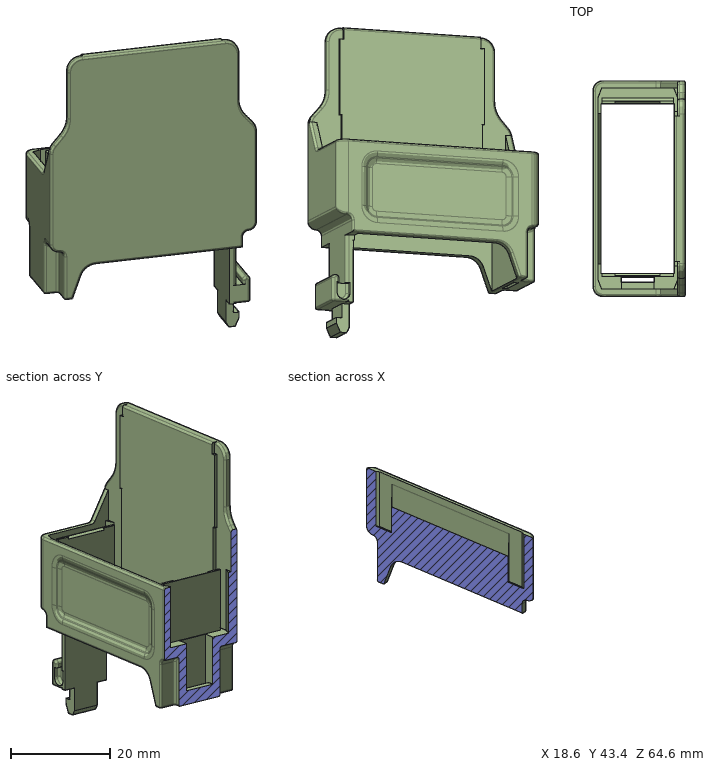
import cadquery as cq
import math

OVERLAP = 0.65
SLACK = 0.05

DEPTH = 18.6
HALF_WIDTH = 21.7
HEIGHT = 64.6
RIM_Z = 38.5
BODY_BOTTOM_Z = 19.6
LEG_BOTTOM_Z = 12.55
LABEL_CORNER_RADIUS = 2.0
EDGE_RADIUS = 0.45
LOWER_EDGE_RADIUS = 0.4

PLATE_FRONT_X = 17.0
PLATE_HALF_WIDTH = 18.0
PLATE_CORNER_RADIUS = 3.0
SHOULDER_LOW_Z = 45.5
SHOULDER_HIGH_Z = 49.6
SHOULDER_OUTER_RADIUS = 2.9
SHOULDER_INNER_RADIUS = 5.4
PANEL_FRONT_X = 16.35
PANEL_LOW_TOP = 46.7
PANEL_MID_TOP = 62.2
PANEL_LOW_HALF_WIDTH = 15.05
PANEL_MID_HALF_WIDTH = 15.5
PANEL_TOP_HALF_WIDTH = 14.65

RIM_SLOPE_X = 13.3
RIM_SLOPE_ANGLE = 60
RIM_BEND_RADIUS = 1.05

STEP_TOP_Z = 24.8
STEP_CONVEX = 1.75
STEP_CONCAVE = 1.15
STEP_Y = HALF_WIDTH - STEP_CONVEX - STEP_CONCAVE
STEP_BOTTOM_Z = STEP_TOP_Z - STEP_CONVEX - STEP_CONCAVE

LEG_INNER_Y = 17.05
LEG_ROOT_Y = 14.5
LEG_ROOT_RADIUS = 3.2

MIDDLE_X = 9.0
CAVITY_FRONT_X = 1.05
CAVITY_HALF_WIDTH = 20.2
CAVITY_CHAMFER_X = 0.7
CAVITY_CHAMFER_Y = 1.8
FLOOR_Z = 25.6
OPENING_LENGTH_X = 2 * (PANEL_FRONT_X - MIDDLE_X)
OPENING_HALF_WIDTH = 17.05
RIB_HALF_WIDTH = 15.1
RIB_TOP_Z = 36.8

GUIDE_LENGTH = 14.35
GUIDE_TOP_Z = 38.45
GUIDE_THICKNESS = 0.6
GUIDE_FOOT = 0.6
LEAD_IN_LENGTH = 9.05
LEAD_IN = 0.45

SLOT_LENGTH = 6.6
SLOT_INNER_Y = 17.8
LEDGE_Z = 15.6

RECESS_WIDTH = 32.4
RECESS_HEIGHT = 13.5
RECESS_Z = 29.1
RECESS_CORNER = 2.8
RECESS_DEPTH = 0.6
RECESS_BORDER = 1.3
RECESS_BLEND = 2.7

CLIP_WIDTH = 10.5
CLIP_BOTTOM_Z = 5.9
ARM_INNER_Y = 17.25
ARM_EDGE_RADIUS = 0.65
ARM_ROOT_Y = 17.05
ARM_ROOT_BOTTOM_Z = 18.6
LIP_TOP_RADIUS = 0.7
LIP_EDGE_RADIUS = 0.5
LIP_BOTTOM_RADIUS = 0.4
LIP_TOP_Z = 11.4
LIP_INNER_Y = 20.15
LIP_WEB_Z = 9.8
POCKET_INNER_Y = 17.95
POCKET_OUTER_Y = 20.75
POCKET_DEPTH = 1.3
POCKET_FLOOR_RADIUS = 0.5
POCKET_CENTER_Z = 7.75
HOOK_WIDTH = 5.9
HOOK_TIP_Y = 20
HOOK_TOP_Z = 3.0
HOOK_TIP_Z = 1.8
HOOK_END_OUTER_Y = 19.2
HOOK_NECK_RADIUS = 0.25
HOOK_CHAMFER_Y = 0.6
HOOK_CHAMFER_Z = 1.05


def box(x_min, x_max, y_min, y_max, z_min, z_max):
    size = (x_max - x_min, y_max - y_min, z_max - z_min)
    return cq.Workplane("XY").box(*size, centered=False).translate((x_min, y_min, z_min))


def centred_box(length_x, y_min, y_max, z_min, z_max):
    return box(MIDDLE_X - length_x / 2, MIDDLE_X + length_x / 2, y_min, y_max, z_min, z_max)


def profile(x_min):
    """Y-Z sketch plane at the given X."""
    return cq.Workplane("YZ", origin=(x_min, 0, 0))


def near(points):
    """Selector for the X-parallel edges that pass through the given (y, z) points."""
    selectors = [
        cq.selectors.BoxSelector((-SLACK, y - SLACK, z - SLACK), (DEPTH + SLACK, y + SLACK, z + SLACK))
        for y, z in points
    ]
    selector = selectors[0]
    for other in selectors[1:]:
        selector = selector + other
    return selector


def end_step(side, x_min, x_max):
    """Material outside the inward step of one end; side is +1 for +Y and -1 for -Y."""
    diagonal = math.sqrt(0.5)
    center_y = HALF_WIDTH - STEP_CONVEX
    convex_middle = (
        side * (center_y + STEP_CONVEX * diagonal),
        STEP_TOP_Z - STEP_CONVEX * diagonal,
    )
    concave_middle = (
        side * (center_y - STEP_CONCAVE * diagonal),
        STEP_BOTTOM_Z + STEP_CONCAVE * diagonal,
    )
    beyond = side * (HALF_WIDTH + OVERLAP)
    return (
        profile(x_min)
        .moveTo(beyond, STEP_TOP_Z)
        .lineTo(side * HALF_WIDTH, STEP_TOP_Z)
        .threePointArc(convex_middle, (side * center_y, STEP_TOP_Z - STEP_CONVEX))
        .threePointArc(concave_middle, (side * STEP_Y, STEP_BOTTOM_Z))
        .lineTo(side * STEP_Y, 0)
        .lineTo(beyond, 0)
        .close()
        .extrude(x_max - x_min)
    )


def outline(x_min):
    """Silhouette of the whole part without the clip, from x_min to the back."""
    shape = (
        profile(x_min)
        .moveTo(-HALF_WIDTH, LEG_BOTTOM_Z)
        .lineTo(-HALF_WIDTH, SHOULDER_LOW_Z)
        .lineTo(-PLATE_HALF_WIDTH, SHOULDER_HIGH_Z)
        .lineTo(-PLATE_HALF_WIDTH, HEIGHT)
        .lineTo(PLATE_HALF_WIDTH, HEIGHT)
        .lineTo(PLATE_HALF_WIDTH, SHOULDER_HIGH_Z)
        .lineTo(HALF_WIDTH, SHOULDER_LOW_Z)
        .lineTo(HALF_WIDTH, BODY_BOTTOM_Z)
        .lineTo(-LEG_ROOT_Y, BODY_BOTTOM_Z)
        .lineTo(-LEG_INNER_Y, LEG_BOTTOM_Z)
        .close()
        .extrude(DEPTH - x_min)
    )
    rounds = (
        (PLATE_CORNER_RADIUS, [(s * PLATE_HALF_WIDTH, HEIGHT) for s in (-1, 1)]),
        (SHOULDER_INNER_RADIUS, [(s * PLATE_HALF_WIDTH, SHOULDER_HIGH_Z) for s in (-1, 1)]),
        (SHOULDER_OUTER_RADIUS, [(s * HALF_WIDTH, SHOULDER_LOW_Z) for s in (-1, 1)]),
        (LEG_ROOT_RADIUS, [(-LEG_ROOT_Y, BODY_BOTTOM_Z)]),
    )
    for radius, points in rounds:
        shape = shape.edges("|X").edges(near(points)).fillet(radius)
    return shape


def walls():
    """Block of the side walls: level rim, then a slope up to the back, with a rounded outer edge."""
    slope_rise = (DEPTH - RIM_SLOPE_X) * math.tan(math.radians(RIM_SLOPE_ANGLE))
    block = (
        cq.Workplane("XZ", origin=(0, HALF_WIDTH, 0))
        .moveTo(0, 0)
        .lineTo(0, RIM_Z)
        .lineTo(RIM_SLOPE_X, RIM_Z)
        .lineTo(DEPTH, RIM_Z + slope_rise)
        .lineTo(DEPTH, 0)
        .close()
        .extrude(2 * HALF_WIDTH)
    )
    bend = cq.selectors.NearestToPointSelector((RIM_SLOPE_X, 0, RIM_Z))
    block = block.edges("|Y").edges(bend).fillet(RIM_BEND_RADIUS)
    block = block.edges("|Z and <X").fillet(LABEL_CORNER_RADIUS)
    block = block.faces("<X").edges(">Z").fillet(EDGE_RADIUS)
    return block.intersect(outline(0))


def envelope():
    """Solid outer shape of the body, leg and back plate."""
    plate = outline(PLATE_FRONT_X).faces("<X").edges().fillet(EDGE_RADIUS)
    shape = walls().union(plate)
    boss_min = MIDDLE_X - CLIP_WIDTH / 2
    boss_max = MIDDLE_X + CLIP_WIDTH / 2
    inner_corner = cq.selectors.BoxSelector(
        (0, -STEP_Y - SLACK, -OVERLAP), (DEPTH, -STEP_Y + SLACK, STEP_BOTTOM_Z + OVERLAP)
    )
    shape = shape.cut(end_step(1, -OVERLAP, DEPTH + OVERLAP))
    for x_min, x_max in ((-OVERLAP, boss_min), (boss_max, DEPTH + OVERLAP)):
        notch = end_step(-1, x_min, x_max)
        shape = shape.cut(notch.edges("|Z").edges(inner_corner).fillet(EDGE_RADIUS))
    shape = shape.faces(">X").edges().fillet(EDGE_RADIUS)
    boss_edges = cq.selectors.BoxSelector(
        (boss_min - OVERLAP, -HALF_WIDTH - OVERLAP, 0),
        (boss_max + OVERLAP, -CAVITY_HALF_WIDTH, FLOOR_Z),
    )
    shape = shape.edges("|Z").edges(boss_edges).fillet(EDGE_RADIUS)
    lower_front = cq.selectors.BoxSelector(
        (-SLACK, -HALF_WIDTH, 0), (SLACK, HALF_WIDTH, STEP_BOTTOM_Z - OVERLAP / 2)
    )
    lower_edges = shape.faces("<Z").edges().add(shape.edges(lower_front))
    return lower_edges.fillet(LOWER_EDGE_RADIUS)


def chamfered_cavity():
    """Open space above the floor; its corner chamfers stop at rim height."""
    front = CAVITY_FRONT_X
    back = PLATE_FRONT_X
    half = CAVITY_HALF_WIDTH
    lower = (
        cq.Workplane("XY", origin=(0, 0, FLOOR_Z))
        .moveTo(front, -half + CAVITY_CHAMFER_Y)
        .lineTo(front + CAVITY_CHAMFER_X, -half)
        .lineTo(back - CAVITY_CHAMFER_X, -half)
        .lineTo(back, -half + CAVITY_CHAMFER_Y)
        .lineTo(back, half - CAVITY_CHAMFER_Y)
        .lineTo(back - CAVITY_CHAMFER_X, half)
        .lineTo(front + CAVITY_CHAMFER_X, half)
        .lineTo(front, half - CAVITY_CHAMFER_Y)
        .close()
        .extrude(RIM_Z - FLOOR_Z)
    )
    upper = box(MIDDLE_X, back, -half, half, RIM_Z, HEIGHT)
    return lower.union(upper)


def raised_panel():
    """Three stacked bands on the front of the back plate."""
    back = (PLATE_FRONT_X + DEPTH) / 2
    bands = (
        (PANEL_LOW_HALF_WIDTH, FLOOR_Z, PANEL_LOW_TOP),
        (PANEL_MID_HALF_WIDTH, PANEL_LOW_TOP, PANEL_MID_TOP),
        (PANEL_TOP_HALF_WIDTH, PANEL_MID_TOP, HEIGHT),
    )
    panel = cq.Workplane("XY")
    for half, bottom, top in bands:
        panel = panel.union(box(PANEL_FRONT_X, back, -half, half, bottom, top))
    return panel.faces("<X").edges(">Z").fillet(EDGE_RADIUS)


def label_wall_rib():
    """Tapered thickening inside the label wall, growing from nothing at its top to full at the floor."""
    return (
        cq.Workplane("XZ", origin=(0, RIB_HALF_WIDTH, 0))
        .moveTo(CAVITY_FRONT_X, RIB_TOP_Z)
        .lineTo(MIDDLE_X - OPENING_LENGTH_X / 2, FLOOR_Z)
        .lineTo(CAVITY_FRONT_X - OVERLAP / 2, FLOOR_Z)
        .lineTo(CAVITY_FRONT_X - OVERLAP / 2, RIB_TOP_Z)
        .close()
        .extrude(2 * RIB_HALF_WIDTH)
    )


def guide(side):
    """Upright plate along one end of the opening, with a lead-in chamfer facing the opening."""
    inner = side * OPENING_HALF_WIDTH
    outer = inner + side * GUIDE_THICKNESS
    plate = centred_box(GUIDE_LENGTH, min(inner, outer), max(inner, outer), FLOOR_Z - OVERLAP, GUIDE_TOP_Z)
    lead_in = (
        profile(MIDDLE_X - LEAD_IN_LENGTH / 2)
        .moveTo(inner, GUIDE_TOP_Z)
        .lineTo(inner + side * LEAD_IN, GUIDE_TOP_Z)
        .lineTo(inner, GUIDE_TOP_Z - LEAD_IN)
        .close()
        .extrude(LEAD_IN_LENGTH)
    )
    return plate.cut(lead_in)


def guide_foot():
    """Sloped foot that stiffens the outer side of the +Y guide."""
    outer = OPENING_HALF_WIDTH + GUIDE_THICKNESS
    return (
        profile(MIDDLE_X - GUIDE_LENGTH / 2)
        .moveTo(outer, FLOOR_Z)
        .lineTo(outer + GUIDE_FOOT, FLOOR_Z)
        .lineTo(outer, FLOOR_Z + GUIDE_FOOT)
        .close()
        .extrude(GUIDE_LENGTH)
    )


def recess_outline():
    """Selector for the edges where the recess meets the outer face of the label wall."""
    half_y = RECESS_WIDTH / 2 + SLACK
    half_z = RECESS_HEIGHT / 2 + SLACK
    return cq.selectors.BoxSelector((-SLACK, -half_y, RECESS_Z - half_z), (SLACK, half_y, RECESS_Z + half_z))


def label_recess():
    """Shallow bevelled recess with a large blend at the foot of the bevel."""
    bevel_angle = math.degrees(math.atan(RECESS_BORDER / RECESS_DEPTH))
    recess = (
        cq.Workplane("YZ", origin=(0, 0, RECESS_Z))
        .sketch()
        .rect(RECESS_WIDTH, RECESS_HEIGHT)
        .vertices()
        .fillet(RECESS_CORNER)
        .finalize()
        .extrude(RECESS_DEPTH, taper=bevel_angle)
    )
    return recess.faces(">X").edges().fillet(RECESS_BLEND)


def catch_slot():
    """Slot through the leg floor whose outer part stops on a ledge near the bottom."""
    through = centred_box(SLOT_LENGTH, -STEP_Y, -SLOT_INNER_Y, 0, FLOOR_Z + OVERLAP)
    stepped = centred_box(SLOT_LENGTH, -CAVITY_HALF_WIDTH, -SLOT_INNER_Y, LEDGE_Z, FLOOR_Z + OVERLAP)
    return through.union(stepped)


def clip_arm():
    """Flat arm hanging under the +Y end, with rounded outer edges."""
    arm = centred_box(CLIP_WIDTH, ARM_INNER_Y, STEP_Y, CLIP_BOTTOM_Z, BODY_BOTTOM_Z + OVERLAP)
    arm = arm.edges("|Z and >Y").fillet(ARM_EDGE_RADIUS)
    root = centred_box(CLIP_WIDTH, ARM_ROOT_Y, STEP_Y, ARM_ROOT_BOTTOM_Z, BODY_BOTTOM_Z + OVERLAP)
    return arm.union(root.edges("|Z and >Y").fillet(ARM_EDGE_RADIUS))


def clip_lip():
    """Finger grip outside the arm: a wall with a rounded top, joined to the arm by a web."""
    wall = centred_box(CLIP_WIDTH, LIP_INNER_Y, HALF_WIDTH, CLIP_BOTTOM_Z, LIP_TOP_Z)
    wall = wall.edges("|X and >Z").fillet(LIP_TOP_RADIUS)
    web = centred_box(CLIP_WIDTH, ARM_INNER_Y, LIP_INNER_Y + OVERLAP / 2, CLIP_BOTTOM_Z, LIP_WEB_Z)
    lip = wall.union(web)
    lip = lip.edges("|Z and >Y").fillet(LIP_EDGE_RADIUS)
    return lip.faces("<Z").edges("not <Y").fillet(LIP_BOTTOM_RADIUS)


def grip_pocket():
    """Blind pocket with a round bottom, sunk into the -X end of the web."""
    radius = (POCKET_OUTER_Y - POCKET_INNER_Y) / 2
    pocket = (
        profile(MIDDLE_X - CLIP_WIDTH / 2)
        .moveTo(POCKET_INNER_Y, LIP_TOP_Z)
        .lineTo(POCKET_INNER_Y, POCKET_CENTER_Z)
        .threePointArc((POCKET_INNER_Y + radius, POCKET_CENTER_Z - radius), (POCKET_OUTER_Y, POCKET_CENTER_Z))
        .lineTo(POCKET_OUTER_Y, LIP_TOP_Z)
        .close()
        .extrude(POCKET_DEPTH)
    )
    pocket = pocket.faces(">X").edges().fillet(POCKET_FLOOR_RADIUS)
    return pocket.cut(box(0, DEPTH, 0, HALF_WIDTH, LIP_WEB_Z, HEIGHT))


def clip_hook():
    """Barbed tip below the arm."""
    return (
        profile(MIDDLE_X - HOOK_WIDTH / 2)
        .moveTo(ARM_INNER_Y, CLIP_BOTTOM_Z + OVERLAP)
        .lineTo(STEP_Y, CLIP_BOTTOM_Z + OVERLAP)
        .lineTo(STEP_Y, HOOK_TOP_Z + HOOK_NECK_RADIUS)
        .radiusArc((STEP_Y + HOOK_NECK_RADIUS, HOOK_TOP_Z), -HOOK_NECK_RADIUS)
        .lineTo(HOOK_TIP_Y, HOOK_TOP_Z)
        .lineTo(HOOK_TIP_Y, HOOK_TIP_Z)
        .lineTo(HOOK_END_OUTER_Y, 0)
        .lineTo(ARM_INNER_Y + HOOK_CHAMFER_Y, 0)
        .lineTo(ARM_INNER_Y, HOOK_CHAMFER_Z)
        .close()
        .extrude(HOOK_WIDTH)
    )


body = envelope()
body = body.cut(chamfered_cavity())
body = body.union(raised_panel())
body = body.union(label_wall_rib())
body = body.cut(centred_box(OPENING_LENGTH_X, -OPENING_HALF_WIDTH, OPENING_HALF_WIDTH, 0, FLOOR_Z + OVERLAP))
body = body.union(guide(-1))
body = body.union(guide(1))
body = body.union(guide_foot())
body = body.cut(label_recess())
body = body.edges(recess_outline()).fillet(RECESS_BLEND)
body = body.cut(catch_slot())

clip = clip_arm().union(clip_lip()).cut(grip_pocket()).union(clip_hook())

result = body.union(clip)